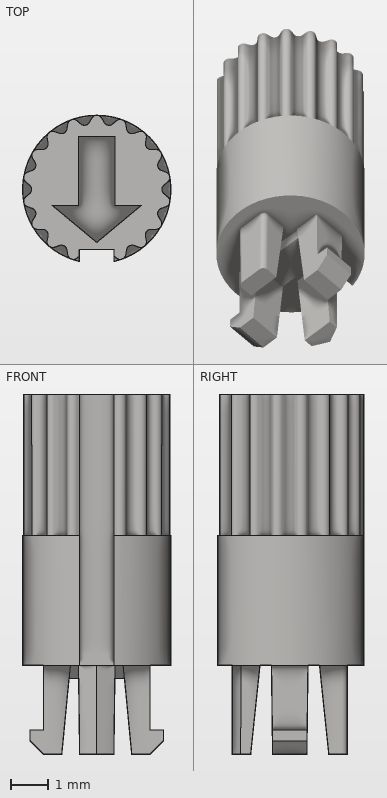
import cadquery as cq
import math

leg_height = 2.4
plain_height = 3.5
knurl_height = 3.8
body_bottom = leg_height
knurl_bottom = body_bottom + plain_height
body_top = knurl_bottom + knurl_height

body_radius = 2.0

groove_count = 18
groove_depth = 0.243
groove_bottom_radius = 0.15
flank_angle = math.radians(40)

slot_width = 0.93
slot_floor_y = -1.62

arrow_depth = 1.0
arrow_half_length = 1.43
arrow_shaft_half_width = 0.49
arrow_head_half_width = 1.2
arrow_shoulder_y = -0.43

leg_root_half_width = 0.495
leg_tip_half_width = 0.465

snap_outer = 1.44
snap_inner_root = 0.71
snap_inner_tip = 0.94
hook_reach = 1.8
hook_top = 0.66
hook_chamfer_height = 0.36

guide_outer = 1.555
guide_inner_root = 0.80
guide_inner_tip = 1.05
prow_shoulder = 1.31
guide_fillet = 0.15

web_depth = 0.36


def polar_point(radius, tangential, angle):
    """Point given along and across a radial line at the angle in radians."""
    return (
        radius * math.cos(angle) - tangential * math.sin(angle),
        radius * math.sin(angle) + tangential * math.cos(angle),
    )


def knurled_head():
    """Upper length of the knob: round grooves and round teeth joined by straight tangent flanks."""
    half_pitch = math.pi / groove_count
    root_radius = body_radius - groove_depth

    root_end = root_radius + groove_bottom_radius * (1 - math.sin(flank_angle))
    root_end_across = groove_bottom_radius * math.cos(flank_angle)

    tooth_flank_angle = flank_angle - half_pitch
    flank_start_x, flank_start_y = polar_point(root_end, root_end_across, -half_pitch)
    tooth_apex = flank_start_x - flank_start_y / math.tan(tooth_flank_angle)

    flank_sine = math.sin(tooth_flank_angle)
    tip_arc_radius = (tooth_apex - body_radius) * flank_sine / (1 - flank_sine)
    tip_end = body_radius - tip_arc_radius * (1 - flank_sine)
    tip_end_across = tip_arc_radius * math.cos(tooth_flank_angle)

    outline = cq.Workplane("XY", origin=(0, 0, knurl_bottom)).moveTo(
        *polar_point(root_end, -root_end_across, 0)
    )
    for index in range(groove_count):
        groove_angle = 2 * half_pitch * index
        tooth_angle = groove_angle + half_pitch
        next_groove_angle = tooth_angle + half_pitch
        outline = (
            outline.threePointArc(
                polar_point(root_radius, 0, groove_angle),
                polar_point(root_end, root_end_across, groove_angle),
            )
            .lineTo(*polar_point(tip_end, -tip_end_across, tooth_angle))
            .threePointArc(
                polar_point(body_radius, 0, tooth_angle),
                polar_point(tip_end, tip_end_across, tooth_angle),
            )
            .lineTo(*polar_point(root_end, -root_end_across, next_groove_angle))
        )
    return outline.close().extrude(knurl_height)


def key_slot():
    slot_depth = body_radius + slot_floor_y
    return cq.Workplane("XY", origin=(0, slot_floor_y - slot_depth / 2, body_bottom)).box(
        slot_width, slot_depth, body_top - body_bottom, centered=(True, True, False)
    )


def arrow_pocket():
    return (
        cq.Workplane("XY", origin=(0, 0, body_top - arrow_depth))
        .polyline(
            [
                (-arrow_shaft_half_width, arrow_half_length),
                (arrow_shaft_half_width, arrow_half_length),
                (arrow_shaft_half_width, arrow_shoulder_y),
                (arrow_head_half_width, arrow_shoulder_y),
                (0, -arrow_half_length),
                (-arrow_head_half_width, arrow_shoulder_y),
                (-arrow_shaft_half_width, arrow_shoulder_y),
            ]
        )
        .close()
        .extrude(arrow_depth)
    )


def leg_envelope():
    """Tapered bar along X that sets the width of a leg on the +X axis."""
    return (
        cq.Workplane("YZ")
        .polyline(
            [
                (-leg_tip_half_width, 0),
                (leg_tip_half_width, 0),
                (leg_root_half_width, leg_height),
                (-leg_root_half_width, leg_height),
            ]
        )
        .close()
        .extrude(body_radius)
    )


def side_profile(points):
    """Leg side profile in the XZ plane, extruded across the full leg width."""
    return cq.Workplane("XZ").polyline(points).close().extrude(leg_root_half_width, both=True)


def snap_leg():
    """Leg on the +X axis with a snap hook at its tip."""
    profile = side_profile(
        [
            (snap_inner_root, leg_height),
            (snap_inner_tip, 0),
            (snap_outer, 0),
            (hook_reach, hook_chamfer_height),
            (hook_reach, hook_top),
            (snap_outer, hook_top),
            (snap_outer, leg_height),
        ]
    )
    return profile.intersect(leg_envelope())


def guide_leg():
    """Leg on the +X axis with a flat outer face."""
    profile = side_profile(
        [
            (guide_inner_root, leg_height),
            (guide_inner_tip, 0),
            (guide_outer, 0),
            (guide_outer, leg_height),
        ]
    )
    return profile.intersect(leg_envelope())


def rounded_guide_leg():
    """Guide leg with its two upright outer edges rounded."""
    outer_side_edges = guide_leg().faces(">X").edges("not #Z")
    return outer_side_edges.fillet(guide_fillet)


def pointed_guide_leg():
    """Guide leg whose outer face comes to a prow."""
    prow = (
        cq.Workplane("XY")
        .polyline(
            [
                (0, -leg_root_half_width),
                (prow_shoulder, -leg_root_half_width),
                (guide_outer, 0),
                (prow_shoulder, leg_root_half_width),
                (0, leg_root_half_width),
            ]
        )
        .close()
        .extrude(leg_height)
    )
    return guide_leg().intersect(prow)


def turned(leg, angle):
    return leg.rotate((0, 0, 0), (0, 0, 1), angle)


def web():
    return cq.Workplane("XY", origin=(0, 0, body_bottom - web_depth)).box(
        2 * snap_outer, 2 * leg_tip_half_width, web_depth, centered=(True, True, False)
    )


plain_body = cq.Workplane("XY", origin=(0, 0, body_bottom)).circle(body_radius).extrude(plain_height)
knob = plain_body.union(knurled_head()).cut(key_slot()).cut(arrow_pocket())

result = (
    knob.union(snap_leg())
    .union(turned(rounded_guide_leg(), 90))
    .union(turned(snap_leg(), 180))
    .union(turned(pointed_guide_leg(), 270))
    .union(web())
)